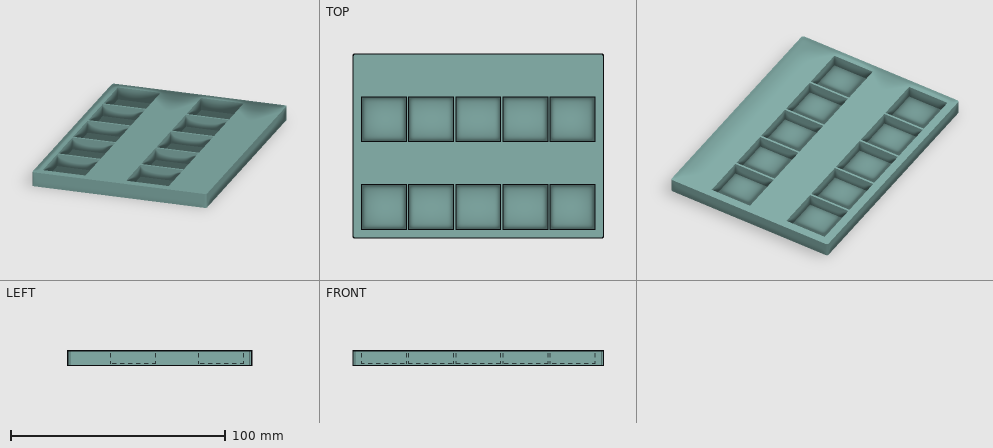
import cadquery as cq

pocket_size = 21.0
pockets_per_row = 5
row_count = 2
divider_thickness = 1.0

rim_width = 4.0
band_width = 20.0
floor_thickness = 1.0
plate_height = 7.0
corner_radius = 1.0

pocket_depth = plate_height - floor_thickness
pocket_pitch = pocket_size + divider_thickness
row_pitch = pocket_size + band_width
row_length = pockets_per_row * pocket_pitch - divider_thickness
plate_length = row_length + 2 * rim_width
plate_width = rim_width + row_count * row_pitch
first_pocket_x = -plate_length / 2 + rim_width + pocket_size / 2
first_row_y = -plate_width / 2 + rim_width + pocket_size / 2


def make_plate():
    """Flat plate, centred on X and Y, with rounded vertical corners."""
    plate = cq.Workplane("XY").box(plate_length, plate_width, plate_height, centered=(True, True, False))
    return plate.edges("|Z").fillet(corner_radius)


def make_pockets():
    """Blocks that fill every pocket, from its floor to the top face of the plate."""
    centres = [
        (first_pocket_x + column * pocket_pitch, first_row_y + row * row_pitch)
        for row in range(row_count)
        for column in range(pockets_per_row)
    ]
    return (
        cq.Workplane("XY")
        .workplane(offset=floor_thickness)
        .pushPoints(centres)
        .rect(pocket_size, pocket_size)
        .extrude(pocket_depth)
    )


result = make_plate().cut(make_pockets())